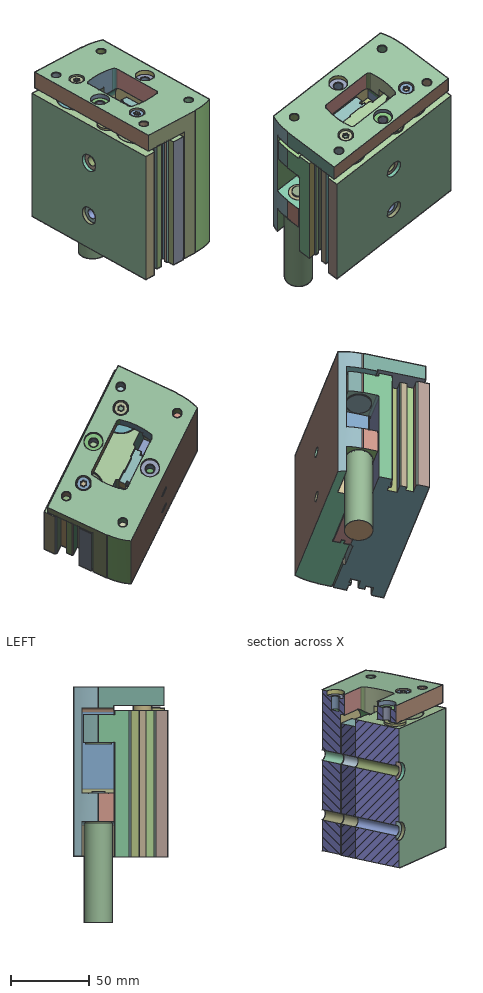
import cadquery as cq
import math


TOP = 150.5
CUT_MARGIN = 1.5
BACK = 60.0
HALF_WIDTH = 104.0 / 2

HOUSING_BOTTOM = 41.8
HOUSING_TOP = 135.5
HOUSING_BACK = 33.5
RELIEF_BACK = 32.0
RELIEF_HALF_WIDTH = 30.1
SEAT_HALF_WIDTH = 13.0
SEAT_BACK = 33.9
KEY_HALF_WIDTH = 5.1
KEY_HEIGHT = 0.6
FLANGE_BACK = 7.7
FLANGE_CHAMFER = 1.0
FRONT_SLOT_FRONT = FLANGE_BACK + FLANGE_CHAMFER
FRONT_SLOT_FLOOR_X = 45.2
RIB_X = 48.0
RIB_FRONT = 13.8
RIB_BACK = 18.5
RIB_CHAMFER = 0.6
REAR_SLOT_FLOOR_X = 41.7
UNDERCUT_BACK = 25.1
LIP_FRONT = 23.6
LIP_INNER_X = 44.7
LIP_OUTER_X = 47.0
LIP_STEP_WIDTH = 0.5
FRONT_OF_PAD = 24.7
MOUNT_HOLE_D = 6.6
MOUNT_BORE_D = 12.0
MOUNT_BORE_DEPTH = 2.5
HOLE_PITCH = 40.0
LOWER_MOUNT_Z = 66.5
PLUG_CENTER = (8.1, 9.0)
PLUG_D = 14.1
PLUG_HEIGHT = 1.5
PLUG_BOSS_D = 8.5
PLUG_BOSS_HEIGHT = 0.6

STOP_BACK = 53.7
STOP_BOTTOM = 115.1
STOP_TOP = 132.7
STOP_INNER_X = -32.4
STOP_BLEND = 1.5
STOP_PAD_D = 16.5
STOP_PAD_HEIGHT = 1.0

TABLE_FRONT = 2.4
TABLE_BOTTOM = 42.3
TABLE_WALL_FRONT = 34.5
PLATE_BOTTOM = 138.5
SIDE_CURVE_START = 44.1
SIDE_STEP = 0.3
SIDE_STEP_RUN = 0.6
BACK_HALF_WIDTH = 48.8
BACK_PLATE_FRONT = 54.8
NOTCH_TOP = 137.0
NOTCH_X = -30.7
NOTCH_FILLET = 2.5
LUG_TOP = 82.6
LUG_BOTTOM = 64.7
WINDOW_FRONT = 17.5
WINDOW_BACK = 42.6
WINDOW_END_HALF_WIDTH = 19.9
WINDOW_MID_HALF_WIDTH = 21.5
WINDOW_FILLET = 2.3
WINDOW_FLOOR = 120.4
RELIEF_TOP = 136.5
END_RELIEF_HALF_WIDTH = 22.5
END_RELIEF_FILLET = 8.7
THREAD_D = 5.5
THREAD_MOUTH_D = 6.3
THREAD_DEPTH = 10.2
PLATE_BORE_D = 12.0
PLATE_BORE_DEPTH = 3.0
FRONT_HOLE_Y = 10.0
HOLE_ROWS = (FRONT_HOLE_Y, FRONT_HOLE_Y + HOLE_PITCH)
HOLE_COLUMNS = (-HOLE_PITCH, HOLE_PITCH)

RAIL_HALF_WIDTH = 11.9
RAIL_CLEARANCE = 0.8
RAIL_BACK = 45.3
RAIL_CHANNEL_BACK = 45.6
RAIL_TOP = 130.6
GROOVE_FRONT = 38.2
GROOVE_BACK = 40.5
GROOVE_BOTTOM_X = 9.6

ABSORBER_X = -42.0
ABSORBER_Y = 44.2
ABSORBER_D = 18.2
ABSORBER_TOP = 63.7
ABSORBER_NECK_D = 16.5
ABSORBER_THREAD_D = 13.0
ABSORBER_TIP_D = 8.5
ABSORBER_TIP_HEIGHT = 1.2

PISTON_X = 27.5
PISTON_Y = 16.1
PISTON_CAP_D = 25.0
PISTON_CAP_HEIGHT = 6.0
PISTON_CAP_RECESS = 0.6
CAP_TOP = HOUSING_TOP - PISTON_CAP_RECESS
CAP_BOTTOM = CAP_TOP - PISTON_CAP_HEIGHT
ROD_D = 12.0
SCREW_D = 5.0
SCREW_HEAD_D = 8.5
SCREW_BORE_D = 10.0
SCREW_BORE_DEPTH = 4.5
SCREW_HEAD_RECESS = 0.8
SOCKET_D = 3.3
SOCKET_DEPTH = 1.8
SOCKET_LOBES = 6
LOBE_D = 1.0


def box(x0, x1, y0, y1, z0, z1):
    return cq.Workplane("XY").box(x1 - x0, y1 - y0, z1 - z0, centered=False).translate((x0, y0, z0))


def post(x, y, diameter, z0, z1):
    return cq.Workplane("XY", origin=(x, y, z0)).circle(diameter / 2).extrude(z1 - z0)


def curved_plan(y0, y1, z0, z1):
    """Full-width block whose rear side faces follow the curve of the slide table."""
    curve_x = HALF_WIDTH - SIDE_STEP
    curve_y = SIDE_CURVE_START + SIDE_STEP_RUN
    inset = curve_x - BACK_HALF_WIDTH
    run = BACK - curve_y
    radius = (inset**2 + run**2) / (2 * inset)
    half_angle = math.asin(run / radius) / 2
    mid_x = curve_x - radius * (1 - math.cos(half_angle))
    mid_y = curve_y + radius * math.sin(half_angle)
    plan = (
        cq.Workplane("XY", origin=(0, 0, z0))
        .moveTo(-HALF_WIDTH, TABLE_FRONT)
        .lineTo(HALF_WIDTH, TABLE_FRONT)
        .lineTo(HALF_WIDTH, SIDE_CURVE_START)
        .lineTo(curve_x, curve_y)
        .threePointArc((mid_x, mid_y), (BACK_HALF_WIDTH, BACK))
        .lineTo(-BACK_HALF_WIDTH, BACK)
        .threePointArc((-mid_x, mid_y), (-curve_x, curve_y))
        .lineTo(-HALF_WIDTH, SIDE_CURVE_START)
        .close()
        .extrude(z1 - z0)
    )
    return plan.intersect(box(-HALF_WIDTH, HALF_WIDTH, y0, y1, z0, z1))


def mount_holes(y0, y1, diameter):
    """Cylinders along Y at the two mounting hole positions."""
    centers = [(0, LOWER_MOUNT_Z), (0, LOWER_MOUNT_Z + HOLE_PITCH)]
    return (
        cq.Workplane("XZ", origin=(0, y0, 0))
        .pushPoints(centers)
        .circle(diameter / 2)
        .extrude(y0 - y1)
    )


SIDE_OUTLINE = [
    (0, 0),
    (HALF_WIDTH, 0),
    (HALF_WIDTH, FLANGE_BACK),
    (HALF_WIDTH - FLANGE_CHAMFER, FRONT_SLOT_FRONT),
    (FRONT_SLOT_FLOOR_X, FRONT_SLOT_FRONT),
    (FRONT_SLOT_FLOOR_X, RIB_FRONT),
    (RIB_X, RIB_FRONT),
    (RIB_X, RIB_BACK - RIB_CHAMFER),
    (RIB_X - RIB_CHAMFER, RIB_BACK),
    (REAR_SLOT_FLOOR_X, RIB_BACK),
    (REAR_SLOT_FLOOR_X, UNDERCUT_BACK),
    (LIP_INNER_X, UNDERCUT_BACK),
    (LIP_INNER_X, LIP_FRONT),
    (LIP_OUTER_X, LIP_FRONT),
    (LIP_OUTER_X + LIP_STEP_WIDTH, FRONT_OF_PAD),
    (HALF_WIDTH, FRONT_OF_PAD),
    (HALF_WIDTH, HOUSING_BACK),
    (RELIEF_HALF_WIDTH, HOUSING_BACK),
    (RELIEF_HALF_WIDTH, RELIEF_BACK),
    (SEAT_HALF_WIDTH, RELIEF_BACK),
    (RAIL_HALF_WIDTH, SEAT_BACK),
    (KEY_HALF_WIDTH, SEAT_BACK),
    (KEY_HALF_WIDTH, SEAT_BACK + KEY_HEIGHT),
    (0, SEAT_BACK + KEY_HEIGHT),
]


def stop_block():
    """Block behind the housing that the shock absorber runs into."""
    block = curved_plan(HOUSING_BACK, STOP_BACK, STOP_BOTTOM, STOP_TOP)
    block = block.intersect(
        box(-HALF_WIDTH, STOP_INNER_X, HOUSING_BACK, STOP_BACK, STOP_BOTTOM, STOP_TOP)
    )
    blend = (
        cq.Workplane("YZ", origin=(-HALF_WIDTH, 0, 0))
        .moveTo(HOUSING_BACK, STOP_BOTTOM - STOP_BLEND)
        .radiusArc((HOUSING_BACK + STOP_BLEND, STOP_BOTTOM), STOP_BLEND)
        .lineTo(HOUSING_BACK + STOP_BLEND, STOP_TOP)
        .radiusArc((HOUSING_BACK, STOP_TOP + STOP_BLEND), STOP_BLEND)
        .close()
        .extrude(STOP_INNER_X + HALF_WIDTH)
    )
    pad = post(ABSORBER_X, ABSORBER_Y, STOP_PAD_D, STOP_BOTTOM - STOP_PAD_HEIGHT, STOP_BOTTOM)
    return block.union(blend).union(pad)


def piston_bore(x):
    """Seat of a piston cap with a chamfered mouth."""
    bore = post(x, PISTON_Y, PISTON_CAP_D, CAP_BOTTOM, HOUSING_TOP)
    mouth = (
        cq.Workplane("XY", origin=(x, PISTON_Y, HOUSING_TOP))
        .circle(PISTON_CAP_D / 2 + PISTON_CAP_RECESS)
        .workplane(offset=-PISTON_CAP_RECESS)
        .circle(PISTON_CAP_D / 2)
        .loft()
    )
    return bore.union(mouth)


def make_housing():
    half = (
        cq.Workplane("XY", origin=(0, 0, HOUSING_BOTTOM))
        .polyline(SIDE_OUTLINE)
        .close()
        .extrude(HOUSING_TOP - HOUSING_BOTTOM)
    )
    body = half.union(half.mirror("YZ")).union(stop_block())
    body = body.cut(mount_holes(0, BACK, MOUNT_HOLE_D))
    body = body.cut(mount_holes(0, MOUNT_BORE_DEPTH, MOUNT_BORE_D))
    for x in (-PISTON_X, PISTON_X):
        body = body.cut(piston_bore(x))
    plug_top = HOUSING_TOP + PLUG_HEIGHT
    plug = post(*PLUG_CENTER, PLUG_D, HOUSING_TOP, plug_top)
    boss = post(*PLUG_CENTER, PLUG_BOSS_D, plug_top, plug_top + PLUG_BOSS_HEIGHT)
    return body.union(plug).union(boss)


def notch_block(z0, z1):
    """Space cut from the left of the rear wall, in front of its back plate."""
    return box(
        -HALF_WIDTH - CUT_MARGIN,
        NOTCH_X,
        TABLE_WALL_FRONT - CUT_MARGIN,
        BACK_PLATE_FRONT,
        z0,
        z1,
    )


def side_notch():
    """Notch above the lug with rounded inner corners."""
    return notch_block(LUG_TOP, NOTCH_TOP).edges("|Y and >X").fillet(NOTCH_FILLET)


def bottom_notch():
    """Notch below the lug, open at the bottom of the rear wall."""
    notch = notch_block(TABLE_BOTTOM - CUT_MARGIN, LUG_BOTTOM)
    return notch.edges("|Y and >X and >Z").fillet(NOTCH_FILLET)


def window():
    """Opening in the top plate with bowed sides."""
    mid_y = (WINDOW_FRONT + WINDOW_BACK) / 2
    return (
        cq.Workplane("XY", origin=(0, 0, WINDOW_FLOOR))
        .moveTo(-WINDOW_END_HALF_WIDTH, WINDOW_FRONT)
        .lineTo(WINDOW_END_HALF_WIDTH, WINDOW_FRONT)
        .threePointArc((WINDOW_MID_HALF_WIDTH, mid_y), (WINDOW_END_HALF_WIDTH, WINDOW_BACK))
        .lineTo(-WINDOW_END_HALF_WIDTH, WINDOW_BACK)
        .threePointArc((-WINDOW_MID_HALF_WIDTH, mid_y), (-WINDOW_END_HALF_WIDTH, WINDOW_FRONT))
        .close()
        .extrude(TOP - WINDOW_FLOOR)
        .edges("|Z")
        .fillet(WINDOW_FILLET)
    )


def rail_section(half_width, y0, y1, z0, z1):
    """Bar with a ball groove along each side."""
    bar = box(-half_width, half_width, y0, y1, z0, z1)
    for side in (-1, 1):
        near, far = sorted((side * GROOVE_BOTTOM_X, side * half_width))
        bar = bar.cut(box(near, far, GROOVE_FRONT, GROOVE_BACK, z0, z1))
    return bar


def rail_space():
    """Channel for the rail and the relief above the channel walls."""
    channel = rail_section(
        RAIL_HALF_WIDTH + RAIL_CLEARANCE,
        TABLE_WALL_FRONT,
        RAIL_CHANNEL_BACK,
        TABLE_BOTTOM,
        WINDOW_FLOOR,
    )
    relief = (
        box(
            -END_RELIEF_HALF_WIDTH,
            END_RELIEF_HALF_WIDTH,
            TABLE_WALL_FRONT,
            RAIL_CHANNEL_BACK,
            WINDOW_FLOOR,
            RELIEF_TOP,
        )
        .edges("|Y and >Z")
        .fillet(END_RELIEF_FILLET)
    )
    return channel.union(relief)


def threaded_hole(x, y, top, bottom):
    """Hole with a 45 degree lead-in at its mouth."""
    lead = (THREAD_MOUTH_D - THREAD_D) / 2
    hole = post(x, y, THREAD_D, bottom, top)
    mouth = (
        cq.Workplane("XY", origin=(x, y, top))
        .circle(THREAD_MOUTH_D / 2)
        .workplane(offset=-lead)
        .circle(THREAD_D / 2)
        .loft()
    )
    return hole.union(mouth)


def make_table():
    plate = curved_plan(TABLE_FRONT, BACK, PLATE_BOTTOM, TOP)
    wall = curved_plan(TABLE_WALL_FRONT, BACK, TABLE_BOTTOM, PLATE_BOTTOM)
    table = plate.union(wall)
    table = table.cut(side_notch()).cut(bottom_notch())
    table = table.cut(window()).cut(rail_space())
    bore_floor = TOP - PLATE_BORE_DEPTH
    for y in HOLE_ROWS:
        for x in HOLE_COLUMNS:
            table = table.cut(threaded_hole(x, y, TOP, TOP - THREAD_DEPTH))
        table = table.cut(post(0, y, PLATE_BORE_D, bore_floor, TOP))
        table = table.cut(threaded_hole(0, y, bore_floor, PLATE_BOTTOM))
    for x in (-PISTON_X, PISTON_X):
        table = table.cut(post(x, PISTON_Y, SCREW_BORE_D, TOP - SCREW_BORE_DEPTH, TOP))
        table = table.cut(post(x, PISTON_Y, SCREW_D, PLATE_BOTTOM, TOP))
    table = table.cut(post(ABSORBER_X, ABSORBER_Y, ABSORBER_THREAD_D, LUG_BOTTOM, LUG_TOP))
    return table.cut(mount_holes(0, BACK, MOUNT_HOLE_D))


def make_rail():
    rail = rail_section(RAIL_HALF_WIDTH, SEAT_BACK, RAIL_BACK, HOUSING_BOTTOM, RAIL_TOP)
    key_slot = box(
        -KEY_HALF_WIDTH, KEY_HALF_WIDTH, SEAT_BACK, SEAT_BACK + KEY_HEIGHT, HOUSING_BOTTOM, RAIL_TOP
    )
    return rail.cut(key_slot).cut(mount_holes(0, BACK, MOUNT_HOLE_D))


def make_absorber():
    barrel = post(ABSORBER_X, ABSORBER_Y, ABSORBER_D, 0, ABSORBER_TOP)
    neck = post(ABSORBER_X, ABSORBER_Y, ABSORBER_NECK_D, ABSORBER_TOP, LUG_BOTTOM)
    thread = post(ABSORBER_X, ABSORBER_Y, ABSORBER_THREAD_D, LUG_BOTTOM, LUG_TOP)
    tip = post(ABSORBER_X, ABSORBER_Y, ABSORBER_TIP_D, LUG_TOP, LUG_TOP + ABSORBER_TIP_HEIGHT)
    return barrel.union(neck).union(thread).union(tip)


def make_piston(x):
    """End cap in the housing, rod, and screw end held in the table's counterbore."""
    head_top = TOP - SCREW_HEAD_RECESS
    cap = post(x, PISTON_Y, PISTON_CAP_D, CAP_BOTTOM, CAP_TOP)
    rod = post(x, PISTON_Y, ROD_D, CAP_TOP, PLATE_BOTTOM)
    shank = post(x, PISTON_Y, SCREW_D, PLATE_BOTTOM, TOP - SCREW_BORE_DEPTH)
    head = post(x, PISTON_Y, SCREW_HEAD_D, TOP - SCREW_BORE_DEPTH, head_top)
    socket = post(x, PISTON_Y, SOCKET_D, head_top - SOCKET_DEPTH, head_top)
    for lobe in range(SOCKET_LOBES):
        angle = 2 * math.pi * (lobe + 0.5) / SOCKET_LOBES
        lobe_x = x + SOCKET_D / 2 * math.cos(angle)
        lobe_y = PISTON_Y + SOCKET_D / 2 * math.sin(angle)
        socket = socket.union(post(lobe_x, lobe_y, LOBE_D, head_top - SOCKET_DEPTH, head_top))
    return cap.union(rod).union(shank).union(head.cut(socket))


housing = make_housing()
table = make_table()
rail = make_rail()
absorber = make_absorber()
pistons = [make_piston(x) for x in (-PISTON_X, PISTON_X)]

result = cq.Compound.makeCompound(
    [
        housing.solids().val(),
        table.solids().val(),
        rail.solids().val(),
        absorber.solids().val(),
        *[piston.solids().val() for piston in pistons],
    ]
)